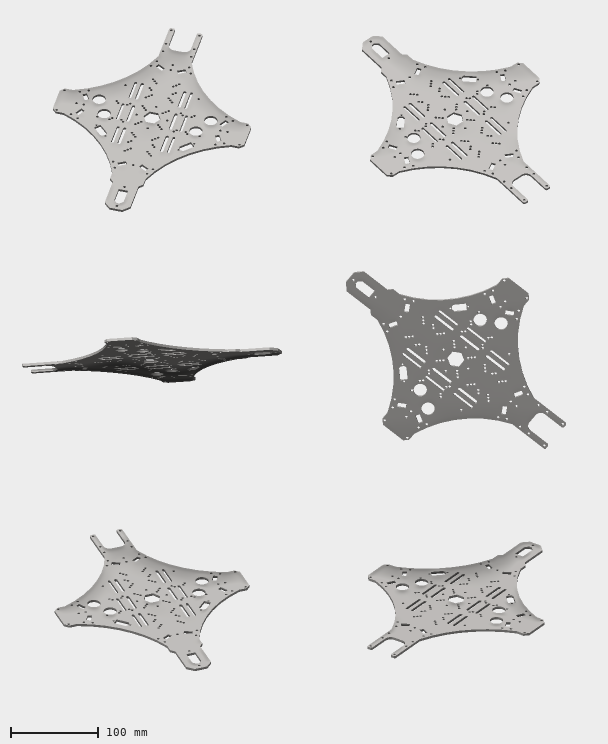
import cadquery as cq
import math

THICKNESS = 3.0
LENGTH = 302
WIDTH = 226.0
HALF_WIDTH = WIDTH / 2
TAIL_EXCESS = 8.2
TOP_END = (LENGTH - TAIL_EXCESS) / 2
BOTTOM_END = TOP_END - LENGTH

ARM_HALF = 19.5
ARM_ROOT = 98.8
WAIST = 50.7
SIDE_ARM_CHAMFER = 4.8
FORK_HALF_GAP = 13.0
FORK_FLOOR = 112.5
FORK_FILLET = 7.5
PRONG_TIP_CHAMFER = 1.2
TAIL_HALF = 15.0
TAIL_SHOULDER = -108.5
TAIL_CHAMFER = 7.5

HOLE_DIAMETER = 3.0
SMALL_HOLE_DIAMETER = 2.5
STEP = 2.7
NEAR_ROW = 12.7
MIDDLE_ROW = 32.5
WIDE_ROW = 43.2
FAR_ROW = 58.0
CENTRE_RING = 18.0
ARM_INNER_HOLE = 80.5
ARM_OUTER_HOLE = 89.0
ARM_EDGE_HOLES = [(23.5, 81.2), (19.0, 90.3)]
ARM_TIP_HOLE = (16.5, 107.8)
PRONG_HOLE_ROWS = (120.5, 143.5)
TAIL_HOLE_ROWS = (-117.8, -150.0)
SIDE_HOLES = [(60.5, -15.0), (WIDE_ROW, WIDE_ROW)]

HEX_ACROSS_FLATS = 17.2
ROUND_WINDOW_DIAMETER = 15
ROUND_WINDOWS = [(65.8, 13.0), (54.0, -8.2)]
STRAP_SLOT_LENGTH = 27.5
STRAP_SLOT_ROW = 37.8
WIDE_SLOT_WIDTH = 3.5
WIDE_SLOT_X = 25.0
NARROW_SLOT_WIDTH = 3.0
NARROW_SLOT_X = 33.0
NARROW_MIDDLE_SLOT_X = 37.5
ARM_WINDOW_LENGTH = 10.0
ARM_WINDOW_WIDTH = 5.0
ARM_WINDOW_CENTRE = (12.7, 81.5)
ARM_WINDOW_TILT = 30
DIAGONAL_WINDOW_LENGTH = 16.5
DIAGONAL_WINDOW_WIDTH = 8.5
DIAGONAL_WINDOW_CENTRE = (50.5, -36.0)
DIAGONAL_WINDOW_TILT = 45
DIAGONAL_WINDOW_CHAMFER = 2.0
DIAGONAL_HOLE_OFFSET = 7.2
TAIL_WINDOW_LENGTH = 22.5
TAIL_WINDOW_WIDTH = 11.0
TAIL_WINDOW_TOP = -123.0
TAIL_WINDOW_CHAMFER = 4.0


def both_sides(points):
    """Each point together with its mirror image across the YZ plane."""
    return [(side * x, y) for x, y in points for side in (1, -1)]


def four_way(points):
    """Each point mirrored across both the YZ and the XZ plane."""
    return [(x, side * y) for x, y in both_sides(points) for side in (1, -1)]


def both_sides_solid(solid):
    return solid.union(solid.mirror("YZ"))


def plate():
    right_half = (
        cq.Workplane("XY")
        .moveTo(0, FORK_FLOOR)
        .lineTo(FORK_HALF_GAP - FORK_FILLET, FORK_FLOOR)
        .radiusArc((FORK_HALF_GAP, FORK_FLOOR + FORK_FILLET), -FORK_FILLET)
        .lineTo(FORK_HALF_GAP, TOP_END - PRONG_TIP_CHAMFER)
        .lineTo(FORK_HALF_GAP + PRONG_TIP_CHAMFER, TOP_END)
        .lineTo(ARM_HALF - PRONG_TIP_CHAMFER, TOP_END)
        .lineTo(ARM_HALF, TOP_END - PRONG_TIP_CHAMFER)
        .lineTo(ARM_HALF, ARM_ROOT)
        .threePointArc((WAIST, WAIST), (ARM_ROOT, ARM_HALF))
        .lineTo(HALF_WIDTH - SIDE_ARM_CHAMFER, ARM_HALF)
        .lineTo(HALF_WIDTH, ARM_HALF - SIDE_ARM_CHAMFER)
        .lineTo(HALF_WIDTH, SIDE_ARM_CHAMFER - ARM_HALF)
        .lineTo(HALF_WIDTH - SIDE_ARM_CHAMFER, -ARM_HALF)
        .lineTo(ARM_ROOT, -ARM_HALF)
        .threePointArc((WAIST, -WAIST), (ARM_HALF, -ARM_ROOT))
        .lineTo(ARM_HALF, TAIL_SHOULDER)
        .lineTo(TAIL_HALF, TAIL_SHOULDER - (ARM_HALF - TAIL_HALF))
        .lineTo(TAIL_HALF, BOTTOM_END + TAIL_CHAMFER)
        .lineTo(TAIL_HALF - TAIL_CHAMFER, BOTTOM_END)
        .lineTo(0, BOTTOM_END)
        .close()
        .extrude(THICKNESS)
    )
    return both_sides_solid(right_half)


def round_cutters(points, diameter):
    return cq.Workplane("XY").pushPoints(points).circle(diameter / 2).extrude(THICKNESS)


def diagonal_row_points():
    """Rows of two or three closely spaced holes at 45 degrees, the same in all four quadrants."""
    points = []
    for shift in (-STEP, 0, STEP):
        x = NEAR_ROW + shift
        points += [(x, NEAR_ROW + shift), (x, MIDDLE_ROW - shift), (x, FAR_ROW + shift)]
    for shift in (0, STEP):
        near = NEAR_ROW + shift
        points += [(near, WIDE_ROW + shift), (WIDE_ROW + shift, near), (MIDDLE_ROW - shift, near)]
    return four_way(points)


def arm_points():
    """Holes on the arms and around the central window."""
    points = []
    for distance in (CENTRE_RING, ARM_INNER_HOLE):
        points += [(0, distance), (0, -distance)] + both_sides([(distance, 0)])
    points += [(0, ARM_OUTER_HOLE)] + both_sides([(ARM_OUTER_HOLE, 0)])
    for across, along in ARM_EDGE_HOLES:
        points += four_way([(across, along), (along, across)])
    across, along = ARM_TIP_HOLE
    points += four_way([(along, across)])
    points += both_sides([(across, row) for row in (along, *PRONG_HOLE_ROWS)])
    return points + [(0, row) for row in TAIL_HOLE_ROWS]


def diagonal_window_points():
    """A hole just beyond each end of each diagonal window."""
    x, y = DIAGONAL_WINDOW_CENTRE
    offset = DIAGONAL_HOLE_OFFSET
    return both_sides([(x + offset, y + offset), (x - offset, y - offset)])


def strap_slots(width, row_x, middle_x):
    points = four_way([(row_x, STRAP_SLOT_ROW)]) + both_sides([(middle_x, 0)])
    slots = cq.Workplane("XY").pushPoints(points).slot2D(STRAP_SLOT_LENGTH, width, 90)
    return slots.extrude(THICKNESS)


def hexagonal_window():
    across_corners = HEX_ACROSS_FLATS / math.cos(math.pi / 6)
    return cq.Workplane("XY").polygon(6, across_corners).extrude(THICKNESS)


def arm_windows():
    """A tilted pair of rectangles at the root of each arm."""
    x, y = ARM_WINDOW_CENTRE
    window = (
        cq.Workplane("XY")
        .rect(ARM_WINDOW_LENGTH, ARM_WINDOW_WIDTH)
        .extrude(THICKNESS)
        .rotate((0, 0, 0), (0, 0, 1), ARM_WINDOW_TILT)
        .translate((x, y, 0))
    )
    pair = both_sides_solid(window)
    windows = pair
    for turn in (90, 180, 270):
        windows = windows.union(pair.rotate((0, 0, 0), (0, 0, 1), turn))
    return windows


def diagonal_windows():
    """Rectangles at 45 degrees whose lower inner ends have chamfered corners."""
    x, y = DIAGONAL_WINDOW_CENTRE
    window = (
        cq.Workplane("XY")
        .rect(DIAGONAL_WINDOW_LENGTH, DIAGONAL_WINDOW_WIDTH)
        .extrude(THICKNESS)
        .edges("|Z and <X")
        .chamfer(DIAGONAL_WINDOW_CHAMFER)
        .rotate((0, 0, 0), (0, 0, 1), DIAGONAL_WINDOW_TILT)
        .translate((x, y, 0))
    )
    return both_sides_solid(window)


def tail_window():
    return (
        cq.Workplane("XY")
        .rect(TAIL_WINDOW_WIDTH, TAIL_WINDOW_LENGTH)
        .extrude(THICKNESS)
        .edges("|Z and <Y")
        .chamfer(TAIL_WINDOW_CHAMFER)
        .translate((0, TAIL_WINDOW_TOP - TAIL_WINDOW_LENGTH / 2, 0))
    )


result = (
    plate()
    .cut(round_cutters(diagonal_row_points(), HOLE_DIAMETER))
    .cut(round_cutters(arm_points(), HOLE_DIAMETER))
    .cut(round_cutters(both_sides(SIDE_HOLES), HOLE_DIAMETER))
    .cut(round_cutters(diagonal_window_points(), SMALL_HOLE_DIAMETER))
    .cut(round_cutters(both_sides(ROUND_WINDOWS), ROUND_WINDOW_DIAMETER))
    .cut(strap_slots(WIDE_SLOT_WIDTH, WIDE_SLOT_X, WIDE_SLOT_X))
    .cut(strap_slots(NARROW_SLOT_WIDTH, NARROW_SLOT_X, NARROW_MIDDLE_SLOT_X))
    .cut(hexagonal_window())
    .cut(arm_windows())
    .cut(diagonal_windows())
    .cut(tail_window())
)